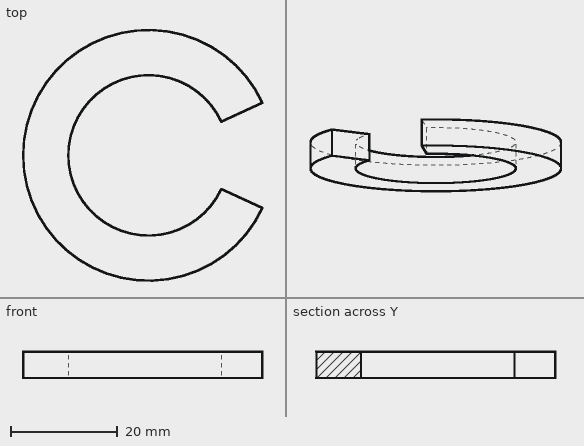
import cadquery as cq
import math

outer_radius = 23.5
inner_radius = 15.0
thickness = 5.0
gap_angle = 49.5


def ring_point(radius, angle):
    """Point at a radius and an angle in degrees from the +X axis."""
    return (radius * math.cos(math.radians(angle)), radius * math.sin(math.radians(angle)))


def open_ring():
    """Ring sector whose two end faces are radial."""
    start_angle = gap_angle / 2
    end_angle = 360.0 - start_angle
    middle_angle = 180.0
    return (
        cq.Workplane("XY")
        .moveTo(*ring_point(outer_radius, start_angle))
        .threePointArc(ring_point(outer_radius, middle_angle), ring_point(outer_radius, end_angle))
        .lineTo(*ring_point(inner_radius, end_angle))
        .threePointArc(ring_point(inner_radius, middle_angle), ring_point(inner_radius, start_angle))
        .close()
        .extrude(thickness)
    )


result = open_ring()